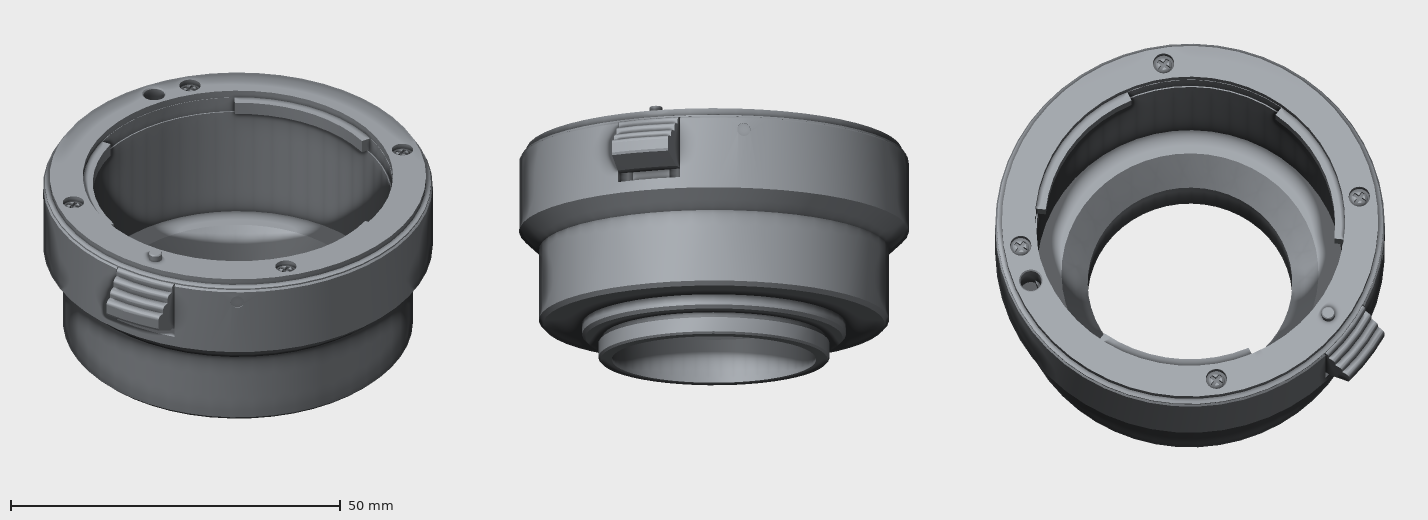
import cadquery as cq
import math


OVERALL_LENGTH = 63.0

LOWER_FLANGE_TOP = 2.5
COLLAR_BOTTOM = 3.4
BARREL_BOTTOM = 5.5
BARREL_TOP = 17.05
HEAD_BOTTOM = 19.9
HOUSING_TOP = 31.0
RING_TOP = 32.4
PIN_TOP = 33.55

LOWER_FLANGE_DIAMETER = 35.0
NECK_DIAMETER = 33.9
COLLAR_DIAMETER = 40.0
BARREL_DIAMETER = 53.0
HEAD_DIAMETER = 59.0
LOWER_FLANGE_CHAMFER = 0.3
COLLAR_CHAMFER = 0.5
BARREL_CHAMFER = 0.6
HEAD_CHAMFER = 0.25

THROAT_DIAMETER = 31.0
CONE_TOP_DIAMETER = 38.9
CAVITY_DIAMETER = 46.5
CONE_BOTTOM = 6.7
CAVITY_FLOOR = 10.75

RING_DIAMETER = 57.0
RING_BORE_DIAMETER = 47.0
RING_RIM_DIAMETER = HEAD_DIAMETER - 2 * HEAD_CHAMFER
RIM_WALL_HEIGHT = 0.25
RIM_SLOPE_HEIGHT = 0.2
HUB_DIAMETER = 55.55
HUB_BOTTOM = 28.8
HUB_BORE_DIAMETER = 46.85

TAB_INNER_DIAMETER = 43.95
TAB_TOP = 31.25
TAB_BOTTOM = 29.2
TAB_ANGLE = 60
TAB_STARTS = (60, 180, 300)

FACE_CIRCLE_RADIUS = 25.95

SCREW_ANGLES = (45, 135, 225, 315)
SCREW_HEAD_DIAMETER = 3.2
SCREW_HEAD_HEIGHT = 0.75
SCREW_HEAD_DEPTH = 0.9
SCREW_DOME_BASE_DIAMETER = 2.6
SCREW_DOME_TOP_DIAMETER = 1.7
SCREW_DOME_HEIGHT = 0.4
SCREW_SHANK_DIAMETER = 1.8
SCREW_BOTTOM = 27.7
CROSS_LENGTH = 2.15
CROSS_WIDTH = 0.55
CROSS_DEPTH = 0.5

INDEX_HOLE_DIAMETER = 3.2
INDEX_HOLE_CHAMFER = 0.2
INDEX_HOLE_ANGLE = 148
INDEX_HOLE_BOTTOM = 27.7
INDEX_SHELF_DIAMETER = 49.6
DOT_DIAMETER = 2.0
DOT_DEPTH = 0.1
DOT_HEIGHT = 28.95
DOT_ANGLE = 28.6

PIN_DIAMETER = 2.0
PIN_CHAMFER = 0.16
PIN_ANGLE = 270

SLOT_WIDTH = 9.95
SLOT_BOTTOM = 21.6
SLOT_BACK = 28.1
SLOT_GROOVE_DIAMETER = 2.0

LEVER_BOTTOM = 23.2
LEVER_CORE_RADIUS = 27.1
LEVER_HEEL_RADIUS = 30.35
LEVER_TIP_RADIUS = OVERALL_LENGTH - HEAD_DIAMETER / 2
LEVER_TIP_BOTTOM = 25.25
LEVER_TIP_BEVEL_WIDTH = 0.1
LEVER_TIP_BEVEL_HEIGHT = 0.4
LEVER_STEP_RADII = (LEVER_TIP_RADIUS, 32.25, 31.0, 29.85)
LEVER_TREAD_HEIGHTS = (27.3, 28.45, 29.8, HOUSING_TOP)
LEVER_STEP_FILLET = 0.55
LEVER_ROOT_WIDTH = 9.6
LEVER_TIP_WIDTH = 8.95
LEVER_TAPER_START = 29.1


def disc(diameter, bottom, top):
    return cq.Workplane("XY").workplane(offset=bottom).circle(diameter / 2).extrude(top - bottom)


def cone(bottom_diameter, top_diameter, bottom, top):
    return cq.Workplane(
        cq.Solid.makeCone(bottom_diameter / 2, top_diameter / 2, top - bottom, cq.Vector(0, 0, bottom))
    )


def on_face_circle(body, angle):
    """Move a body from the optical axis to the given angle on the ring face circle."""
    x = FACE_CIRCLE_RADIUS * math.cos(math.radians(angle))
    y = FACE_CIRCLE_RADIUS * math.sin(math.radians(angle))
    return body.translate((x, y, 0))


def screw_blank():
    """Head and shank of a screw, used both for the screw and for its hole."""
    head_top = RING_TOP - SCREW_HEAD_DEPTH
    head = disc(SCREW_HEAD_DIAMETER, head_top - SCREW_HEAD_HEIGHT, head_top)
    return head.union(disc(SCREW_SHANK_DIAMETER, SCREW_BOTTOM, head_top - SCREW_HEAD_HEIGHT))


def make_screw(angle):
    dome_bottom = RING_TOP - SCREW_HEAD_DEPTH
    dome_top = dome_bottom + SCREW_DOME_HEIGHT
    dome = cone(SCREW_DOME_BASE_DIAMETER, SCREW_DOME_TOP_DIAMETER, dome_bottom, dome_top)
    cross = (
        cq.Workplane("XY")
        .workplane(offset=dome_top - CROSS_DEPTH)
        .rect(CROSS_LENGTH, CROSS_WIDTH)
        .extrude(CROSS_DEPTH)
    )
    cross = cross.union(cross.rotate((0, 0, 0), (0, 0, 1), 90))
    return on_face_circle(screw_blank().union(dome).cut(cross), angle)


def make_pin():
    pin = disc(PIN_DIAMETER, HUB_BOTTOM, PIN_TOP).faces(">Z").chamfer(PIN_CHAMFER)
    return on_face_circle(pin, PIN_ANGLE)


def lever_slot():
    depth = HEAD_DIAMETER / 2 - SLOT_BACK
    slot = (
        cq.Workplane("XY")
        .workplane(offset=SLOT_BOTTOM)
        .center(0, -SLOT_BACK - depth / 2)
        .rect(SLOT_WIDTH, depth)
        .extrude(HOUSING_TOP - SLOT_BOTTOM)
    )
    for side in (-1, 1):
        groove = disc(SLOT_GROOVE_DIAMETER, SLOT_BOTTOM, HUB_BOTTOM)
        groove_x = side * (SLOT_WIDTH - SLOT_GROOVE_DIAMETER) / 2
        slot = slot.union(groove.translate((groove_x, -SLOT_BACK, 0)))
    return slot


def index_dot():
    reach = HEAD_DIAMETER / 2 - DOT_DEPTH
    dot = cq.Workplane("XZ").workplane(offset=reach).circle(DOT_DIAMETER / 2).extrude(2 * DOT_DEPTH)
    return dot.translate((0, 0, DOT_HEIGHT)).rotate((0, 0, 0), (0, 0, 1), DOT_ANGLE)


def make_housing():
    lower_flange = disc(LOWER_FLANGE_DIAMETER, 0, LOWER_FLANGE_TOP)
    housing = lower_flange.faces("<Z").chamfer(LOWER_FLANGE_CHAMFER)
    housing = housing.union(disc(NECK_DIAMETER, LOWER_FLANGE_TOP, COLLAR_BOTTOM))
    collar = disc(COLLAR_DIAMETER, COLLAR_BOTTOM, BARREL_BOTTOM)
    housing = housing.union(collar.faces("<Z").chamfer(COLLAR_CHAMFER))
    barrel = disc(BARREL_DIAMETER, BARREL_BOTTOM, BARREL_TOP)
    housing = housing.union(barrel.faces("<Z").chamfer(BARREL_CHAMFER))
    housing = housing.union(cone(BARREL_DIAMETER, HEAD_DIAMETER, BARREL_TOP, HEAD_BOTTOM))
    head = disc(HEAD_DIAMETER, HEAD_BOTTOM, HOUSING_TOP)
    housing = housing.union(head.faces(">Z").chamfer(HEAD_CHAMFER))

    housing = housing.cut(disc(THROAT_DIAMETER, 0, CONE_BOTTOM))
    housing = housing.cut(cone(THROAT_DIAMETER, CONE_TOP_DIAMETER, CONE_BOTTOM, CAVITY_FLOOR))
    housing = housing.cut(disc(CAVITY_DIAMETER, CAVITY_FLOOR, HOUSING_TOP))
    housing = housing.cut(disc(HUB_DIAMETER, HUB_BOTTOM, HOUSING_TOP))

    for angle in SCREW_ANGLES:
        housing = housing.cut(on_face_circle(screw_blank(), angle))
    index_hole = disc(INDEX_HOLE_DIAMETER, INDEX_HOLE_BOTTOM, HOUSING_TOP)
    index_hole = on_face_circle(index_hole, INDEX_HOLE_ANGLE)
    index_hole = index_hole.cut(disc(INDEX_SHELF_DIAMETER, INDEX_HOLE_BOTTOM, HUB_BOTTOM))
    housing = housing.cut(index_hole)
    return housing.cut(lever_slot()).cut(make_pin()).cut(index_dot())


def bayonet_tab(start_angle):
    """Sector of the ring between the tab radius and the hub wall."""
    tab = (
        cq.Workplane("XZ")
        .moveTo(TAB_INNER_DIAMETER / 2, TAB_BOTTOM)
        .lineTo(HUB_DIAMETER / 2, TAB_BOTTOM)
        .lineTo(HUB_DIAMETER / 2, TAB_TOP)
        .lineTo(TAB_INNER_DIAMETER / 2, TAB_TOP)
        .close()
        .revolve(TAB_ANGLE, (0, 0, 0), (0, 1, 0))
    )
    return tab.rotate((0, 0, 0), (0, 0, 1), start_angle)


def make_ring():
    slope_bottom = HOUSING_TOP + RIM_WALL_HEIGHT
    rim_top = slope_bottom + RIM_SLOPE_HEIGHT
    ring = disc(RING_RIM_DIAMETER, HOUSING_TOP, slope_bottom)
    ring = ring.union(cone(RING_RIM_DIAMETER, RING_DIAMETER, slope_bottom, rim_top))
    ring = ring.union(disc(RING_DIAMETER, rim_top, RING_TOP))
    ring = ring.union(disc(HUB_DIAMETER, HUB_BOTTOM, HOUSING_TOP))
    ring = ring.cut(disc(RING_BORE_DIAMETER, TAB_TOP, RING_TOP))
    ring = ring.cut(disc(HUB_BORE_DIAMETER, HUB_BOTTOM, TAB_TOP))
    for start_angle in TAB_STARTS:
        ring = ring.union(bayonet_tab(start_angle))

    screw_access = disc(SCREW_HEAD_DIAMETER, RING_TOP - SCREW_HEAD_DEPTH, RING_TOP)
    screw_hole = screw_blank().union(screw_access)
    for angle in SCREW_ANGLES:
        ring = ring.cut(on_face_circle(screw_hole, angle))
    index_hole = disc(INDEX_HOLE_DIAMETER, HUB_BOTTOM, RING_TOP)
    rim_diameter = INDEX_HOLE_DIAMETER + 2 * INDEX_HOLE_CHAMFER
    rim_chamfer = cone(INDEX_HOLE_DIAMETER, rim_diameter, RING_TOP - INDEX_HOLE_CHAMFER, RING_TOP)
    index_hole = index_hole.union(rim_chamfer)
    ring = ring.cut(on_face_circle(index_hole, INDEX_HOLE_ANGLE))
    return ring.cut(make_pin())


def make_lever():
    section = (
        cq.Workplane("XZ")
        .moveTo(LEVER_CORE_RADIUS, LEVER_BOTTOM)
        .lineTo(LEVER_HEEL_RADIUS, LEVER_BOTTOM)
        .lineTo(LEVER_TIP_RADIUS - LEVER_TIP_BEVEL_WIDTH, LEVER_TIP_BOTTOM - LEVER_TIP_BEVEL_HEIGHT)
        .lineTo(LEVER_TIP_RADIUS, LEVER_TIP_BOTTOM)
    )
    next_radii = (*LEVER_STEP_RADII[1:], LEVER_CORE_RADIUS)
    for radius, tread, next_radius in zip(LEVER_STEP_RADII, LEVER_TREAD_HEIGHTS, next_radii):
        section = section.lineTo(radius, tread - LEVER_STEP_FILLET)
        section = section.radiusArc((radius - LEVER_STEP_FILLET, tread), -LEVER_STEP_FILLET)
        section = section.lineTo(next_radius, tread)
    turned = section.close().revolve(360, (0, 0, 0), (0, 1, 0))

    plan = (
        cq.Workplane("XY")
        .workplane(offset=LEVER_BOTTOM)
        .moveTo(-LEVER_ROOT_WIDTH / 2, -SLOT_BACK)
        .lineTo(-LEVER_ROOT_WIDTH / 2, -LEVER_TAPER_START)
        .lineTo(-LEVER_TIP_WIDTH / 2, -LEVER_TIP_RADIUS)
        .lineTo(LEVER_TIP_WIDTH / 2, -LEVER_TIP_RADIUS)
        .lineTo(LEVER_ROOT_WIDTH / 2, -LEVER_TAPER_START)
        .lineTo(LEVER_ROOT_WIDTH / 2, -SLOT_BACK)
        .close()
        .extrude(HOUSING_TOP - LEVER_BOTTOM)
    )
    return turned.intersect(plan).cut(make_pin())


housing = make_housing()
ring = make_ring()
screws = [make_screw(angle) for angle in SCREW_ANGLES]
lever = make_lever()
pin = make_pin()

result = cq.Compound.makeCompound(
    [housing.val(), ring.val(), *[screw.val() for screw in screws], lever.val(), pin.val()]
)